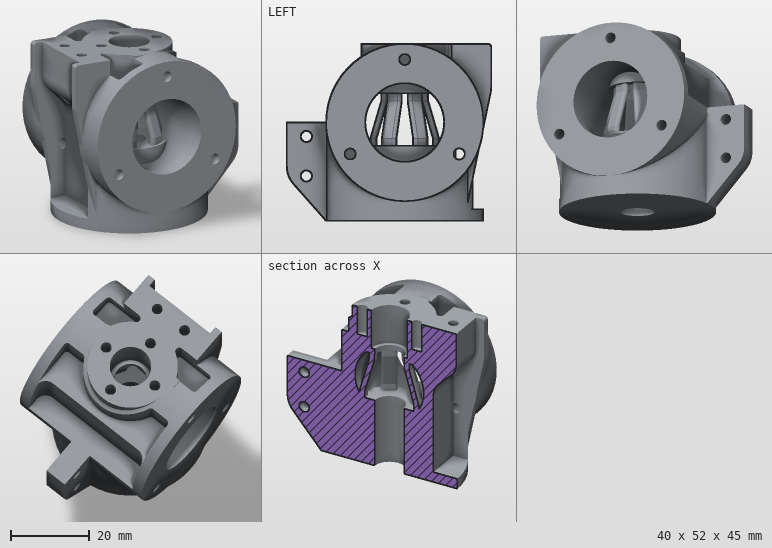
import math

import cadquery as cq


BARREL_RADIUS = 20.0
BARREL_LENGTH = 40.0
BARREL_END_X = BARREL_LENGTH / 2
BASE_Z = -25.0
TOP_Z = BARREL_RADIUS
CLEARANCE = 1.0
CROSS_BORE_DIAMETER = 20.0

BOSS_RADIUS = 11.0
BOSS_FLOOR_Z = 10.0
TOP_BORE_DIAMETER = 10.54
TOP_BORE_FLOOR_Z = 9.0
LOWER_BORE_DIAMETER = 8.52

SCREW_DIAMETER = 2.8
BOSS_SCREW_CIRCLE_RADIUS = 8.0
BOSS_SCREW_COUNT = 4
BOSS_SCREW_DEPTH = 8.0
FLANGE_SCREW_CIRCLE_RADIUS = 16.0
FLANGE_SCREW_DEPTH = 10.0
FLANGE_SCREW_ANGLES = (90, 210, 330)

POCKET_HALF_WIDTH = 17.0
POCKET_INNER_RADIUS = 12.0
POCKET_INNER_X = 6.0
POCKET_NEAR_Y = 5.0
POCKET_FRONT_Y = 12.0
POCKET_FLOOR_Z = 12.0
POCKET_CORNER_RADIUS = 1.0
REAR_STEP_Y = 14.0
REAR_STEP_FLOOR_Z = 0.0
REAR_STEP_CORNER_RADIUS = 3.0

CHEEK_OUTER_X = 12.0
CHEEK_INNER_X = 10.0
CHEEK_FRONT_Y = -22.0
CHEEK_TAPER_Z = 8.2
CHEEK_TOE_Y = -15.0
CHEEK_TIP_RADIUS = 0.8
CHEEK_BEND_RADIUS = 8.0
BLOCK_FRONT_Y = -19.7
RECESS_FACE_Y = -13.0
RECESS_FLOOR_Z = -22.0
RECESS_RAMP_Z = 9.0
RECESS_BEND_RADIUS = 5.0
BLOCK_SCREW_X = 4.5
BLOCK_SCREW_Y = -16.2

UPPER_RING_DIAMETER = 14.3
UPPER_RING_Z = 7.4
UPPER_RING_TOP_Z = 13.0
LOWER_RING_DIAMETER = 19.2
LOWER_RING_Z = -5.9
LOWER_RING_BASE_Z = -12.0
STRUT_COUNT = 6
STRUT_THICKNESS = 1.6
STRUT_LENGTH = 4.1
STRUT_STUB = 1.9
STRUT_OVERLAP = 0.5
STRUT_TOP_RADIUS = 5.17
STRUT_BOTTOM_RADIUS = 7.93

TAIL_WIDTH = 6.0
TAIL_ROOT_Y = BARREL_RADIUS / 2
TAIL_END_Y = 30.0
TAIL_HOLE_Y = 25.0
TAIL_HOLE_Z = (-3.55, -13.6)
TAIL_CORNER_Z = -13.7
TAIL_CORNER_RADIUS = 6.5


def cylinder_z(diameter, z_low, z_high, x=0.0, y=0.0):
    return cq.Workplane("XY", origin=(x, y, z_low)).circle(diameter / 2).extrude(z_high - z_low)


def cylinder_x(diameter, x_low, x_high, y=0.0, z=0.0):
    return cq.Workplane("YZ", origin=(x_low, y, z)).circle(diameter / 2).extrude(x_high - x_low)


def box(x_range, y_range, z_range):
    size = [high - low for low, high in (x_range, y_range, z_range)]
    corner = (x_range[0], y_range[0], z_range[0])
    return cq.Workplane("XY").box(*size, centered=False).translate(corner)


def side_plate(points, half_width):
    """Extrude a (Y, Z) outline symmetrically about X = 0."""
    return cq.Workplane("YZ").polyline(points).close().extrude(half_width, both=True)


def edges_along_x_at(solid, y, z):
    near = cq.selectors.NearestToPointSelector((0, y, z))
    return solid.edges("|X").edges(near)


def make_front_block():
    outline = [
        (0, TOP_Z),
        (CHEEK_FRONT_Y, TOP_Z),
        (CHEEK_FRONT_Y, CHEEK_TAPER_Z),
        (CHEEK_TOE_Y, BASE_Z),
        (0, BASE_Z),
    ]
    block = side_plate(outline, CHEEK_OUTER_X)
    block = edges_along_x_at(block, CHEEK_FRONT_Y, TOP_Z).fillet(CHEEK_TIP_RADIUS)
    return edges_along_x_at(block, CHEEK_FRONT_Y, CHEEK_TAPER_Z).fillet(CHEEK_BEND_RADIUS)


def make_front_recess():
    """Space between the cheeks: shallow above, a 45 degree ramp, deep below."""
    ramp_drop = BLOCK_FRONT_Y - RECESS_FACE_Y
    outside_y = CHEEK_FRONT_Y - CLEARANCE
    ramp_end_z = RECESS_RAMP_Z + ramp_drop
    outline = [
        (outside_y, TOP_Z),
        (BLOCK_FRONT_Y, TOP_Z),
        (BLOCK_FRONT_Y, RECESS_RAMP_Z),
        (RECESS_FACE_Y, ramp_end_z),
        (RECESS_FACE_Y, RECESS_FLOOR_Z),
        (outside_y, RECESS_FLOOR_Z),
    ]
    recess = side_plate(outline, CHEEK_INNER_X)
    recess = edges_along_x_at(recess, BLOCK_FRONT_Y, RECESS_RAMP_Z).fillet(RECESS_BEND_RADIUS)
    return edges_along_x_at(recess, RECESS_FACE_Y, ramp_end_z).fillet(RECESS_BEND_RADIUS)


def make_tail():
    outline = [
        (TAIL_ROOT_Y, 0),
        (TAIL_END_Y, 0),
        (TAIL_END_Y, TAIL_CORNER_Z),
        (BARREL_RADIUS, BASE_Z),
        (TAIL_ROOT_Y, BASE_Z),
    ]
    tail = side_plate(outline, TAIL_WIDTH / 2)
    tail = edges_along_x_at(tail, TAIL_END_Y, TAIL_CORNER_Z).fillet(TAIL_CORNER_RADIUS)
    for z in TAIL_HOLE_Z:
        tail = tail.cut(cylinder_x(SCREW_DIAMETER, -TAIL_WIDTH, TAIL_WIDTH, TAIL_HOLE_Y, z))
    return tail


def make_pockets():
    """Two front pockets and one rear pocket, all kept clear of the wall round the boss."""
    across = (-POCKET_HALF_WIDTH, POCKET_HALF_WIDTH)
    depth = (POCKET_FLOOR_Z, TOP_Z + CLEARANCE)
    keep = cylinder_z(2 * POCKET_INNER_RADIUS, *depth)

    front = box(across, (-POCKET_FRONT_Y, -POCKET_NEAR_Y), depth).cut(keep)
    front = front.cut(box((-POCKET_INNER_X, POCKET_INNER_X), (-POCKET_FRONT_Y, 0), depth))
    front = front.edges("|Z").fillet(POCKET_CORNER_RADIUS)

    rear = box(across, (POCKET_NEAR_Y, BARREL_RADIUS + CLEARANCE), depth).cut(keep)
    rear = rear.edges("|Z").edges("<Y").fillet(POCKET_CORNER_RADIUS)
    step = box(across, (REAR_STEP_Y, BARREL_RADIUS + CLEARANCE), (REAR_STEP_FLOOR_Z, TOP_Z + CLEARANCE))
    step = step.edges("|Z and <Y").fillet(REAR_STEP_CORNER_RADIUS)
    return front.union(rear).union(step)


def make_strut():
    """Slot-section strut at +X: short upright ends joined by a slanting middle."""

    def section(radius, z):
        return cq.Workplane("XY", origin=(radius, 0, z)).slot2D(STRUT_LENGTH, STRUT_THICKNESS, 90)

    slant_low = LOWER_RING_Z + STRUT_STUB
    slant_high = UPPER_RING_Z - STRUT_STUB
    lower = section(STRUT_BOTTOM_RADIUS, LOWER_RING_Z - STRUT_OVERLAP).extrude(STRUT_STUB + STRUT_OVERLAP)
    upper = section(STRUT_TOP_RADIUS, slant_high).extrude(STRUT_STUB + STRUT_OVERLAP)
    middle = (
        section(STRUT_BOTTOM_RADIUS, slant_low)
        .center(STRUT_TOP_RADIUS - STRUT_BOTTOM_RADIUS, 0)
        .workplane(offset=slant_high - slant_low)
        .slot2D(STRUT_LENGTH, STRUT_THICKNESS, 90)
        .loft(ruled=True)
    )
    return lower.union(middle).union(upper)


def make_cage():
    cage = cylinder_z(UPPER_RING_DIAMETER, UPPER_RING_Z, UPPER_RING_TOP_Z)
    cage = cage.union(cylinder_z(LOWER_RING_DIAMETER, LOWER_RING_BASE_Z, LOWER_RING_Z))
    strut = make_strut()
    for index in range(STRUT_COUNT):
        angle = (index + 0.5) * 360 / STRUT_COUNT
        cage = cage.union(strut.rotate((0, 0, 0), (0, 0, 1), angle))
    return cage


def make_crossbar(recess):
    """Horizontal barrel with the front block and the pockets."""
    crossbar = cylinder_x(2 * BARREL_RADIUS, -BARREL_END_X, BARREL_END_X)
    crossbar = crossbar.union(make_front_block())
    crossbar = crossbar.cut(make_pockets())
    return crossbar.cut(recess)


def make_column(recess):
    """Vertical barrel with the rear tail."""
    column = cylinder_z(2 * BARREL_RADIUS, BASE_Z, 0)
    return column.union(make_tail()).cut(recess)


def make_screw_holes():
    holes = cq.Workplane("XY")
    for index in range(BOSS_SCREW_COUNT):
        angle = 2 * math.pi * index / BOSS_SCREW_COUNT
        x = BOSS_SCREW_CIRCLE_RADIUS * math.cos(angle)
        y = BOSS_SCREW_CIRCLE_RADIUS * math.sin(angle)
        holes = holes.add(cylinder_z(SCREW_DIAMETER, TOP_Z - BOSS_SCREW_DEPTH, TOP_Z, x, y))
    for degrees in FLANGE_SCREW_ANGLES:
        angle = math.radians(degrees)
        y = FLANGE_SCREW_CIRCLE_RADIUS * math.cos(angle)
        z = FLANGE_SCREW_CIRCLE_RADIUS * math.sin(angle)
        hole_end_x = BARREL_END_X - FLANGE_SCREW_DEPTH
        holes = holes.add(cylinder_x(SCREW_DIAMETER, -BARREL_END_X, -hole_end_x, y, z))
        holes = holes.add(cylinder_x(SCREW_DIAMETER, hole_end_x, BARREL_END_X, y, z))
    for x in (-BLOCK_SCREW_X, BLOCK_SCREW_X):
        holes = holes.add(cylinder_z(SCREW_DIAMETER, 0, TOP_Z, x, BLOCK_SCREW_Y))
    return holes.combine()


front_recess = make_front_recess()
body = make_crossbar(front_recess).union(make_column(front_recess))
body = body.union(cylinder_z(2 * BOSS_RADIUS, BOSS_FLOOR_Z, TOP_Z))
body = body.cut(cylinder_x(CROSS_BORE_DIAMETER, -BARREL_END_X, BARREL_END_X))
body = body.union(make_cage())
body = body.cut(cylinder_z(LOWER_BORE_DIAMETER, BASE_Z, TOP_Z))
body = body.cut(cylinder_z(TOP_BORE_DIAMETER, TOP_BORE_FLOOR_Z, TOP_Z))
result = body.cut(make_screw_holes())